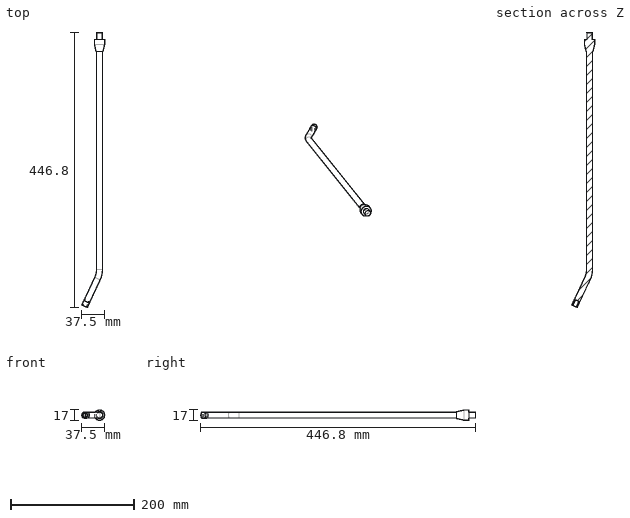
import cadquery as cq
import math

stub_diameter = 9.5
stub_length = 11.0
collar_diameter = 17.0
collar_length = 8.0
taper_length = 12.0
taper_end_diameter = 11.5

tube_diameter = 10.0
bend_angle = 25.0
bend_radius = 36.0
tip_diameter = 10.2
tip_length = 8.0
tip_hole_diameter = 5.8
tip_hole_depth = 10.0

overall_width = 37.47
overall_length = 446.81

angle = math.radians(bend_angle)
tip_direction = cq.Vector(-math.sin(angle), -math.cos(angle), 0)
tip_radius = tip_diameter / 2
tip_end_x = collar_diameter / 2 - overall_width + tip_radius * math.cos(angle)
bend_end_x = -bend_radius * (1 - math.cos(angle))
outlet_length = (bend_end_x - tip_end_x) / math.sin(angle)
bend_length_y = bend_radius * math.sin(angle)
tip_end_y = tip_radius * math.sin(angle)
bend_end_y = tip_end_y + outlet_length * math.cos(angle)
bend_start_y = bend_end_y + bend_length_y

collar_back_y = overall_length - stub_length
collar_front_y = collar_back_y - collar_length
taper_end_y = collar_front_y - taper_length

bend_end = cq.Vector(bend_end_x, bend_end_y, 0)
tip_end = cq.Vector(tip_end_x, tip_end_y, 0)
tip_start = tip_end - tip_direction * tip_length


def rod(start, direction, diameter, length):
    """Solid cylinder from a start point along a direction."""
    return cq.Workplane(cq.Solid.makeCylinder(diameter / 2, length, start, direction))


def inlet_fitting():
    """Stub, collar and taper turned about the tube axis."""
    profile = (
        cq.Workplane("XY")
        .moveTo(0, overall_length)
        .lineTo(stub_diameter / 2, overall_length)
        .lineTo(stub_diameter / 2, collar_back_y)
        .lineTo(collar_diameter / 2, collar_back_y)
        .lineTo(collar_diameter / 2, collar_front_y)
        .lineTo(taper_end_diameter / 2, taper_end_y)
        .lineTo(0, taper_end_y)
        .close()
    )
    return profile.revolve(360, (0, 0, 0), (0, 1, 0))


def straight_tube():
    """Long straight run between the fitting and the bend."""
    start = cq.Vector(0, bend_start_y, 0)
    return rod(start, cq.Vector(0, 1, 0), tube_diameter, taper_end_y - bend_start_y)


def bend():
    """Arc of the tube that turns the outlet towards -X."""
    section = cq.Workplane("XZ", origin=(0, bend_start_y, 0)).circle(tube_diameter / 2)
    return section.revolve(bend_angle, (-bend_radius, 0, 0), (-bend_radius, -1, 0))


def outlet():
    """Straight run after the bend, ending in the tip with its axial hole."""
    run = rod(bend_end, tip_direction, tube_diameter, outlet_length - tip_length)
    tip = rod(tip_start, tip_direction, tip_diameter, tip_length)
    hole = rod(tip_end, tip_direction * -1, tip_hole_diameter, tip_hole_depth)
    return run.union(tip).cut(hole)


result = inlet_fitting().union(straight_tube()).union(bend()).union(outlet())